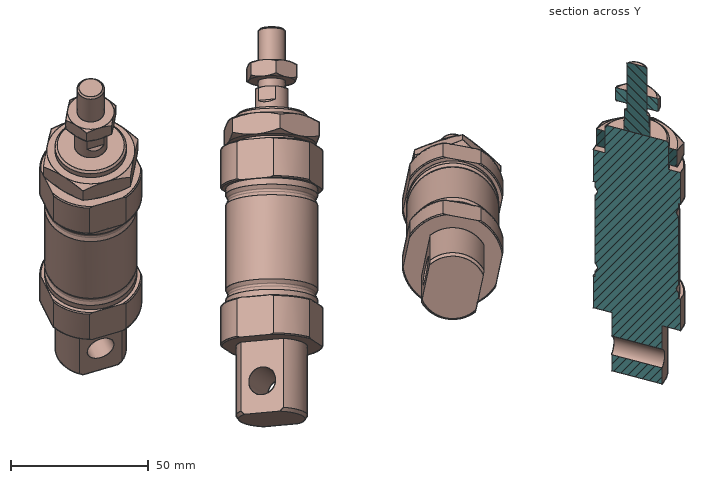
import cadquery as cq
import math

TOTAL_HEIGHT = 146.0

CLEVIS_LENGTH = 27.2
CLEVIS_DIAMETER = 26.0
CLEVIS_FLATS = 20.0
CLEVIS_CHAMFER_RADIAL = 0.9
CLEVIS_CHAMFER_HEIGHT = 1.3
PIVOT_HEIGHT = 12.0
PIVOT_DIAMETER = 10.4
HEAD_HEIGHT = 14.9
HEAD_FLATS = 34.5
HEAD_DIAMETER = 37.2
HEAD_CHAMFER = 0.5
BARREL_DIAMETER = 33.6
BARREL_LENGTH = 44.1
GROOVE_OFFSET = 2.3
GROOVE_WIDTH = 4.0
GROOVE_FLOOR = 1.0
GROOVE_FLANK_DEPTH = 0.7
GROOVE_DEPTH = 0.9
NOSE_DIAMETER = 26.0
NOSE_TOP_DIAMETER = 24.4
NOSE_LENGTH = 13.0

ROD_DIAMETER = 12.0
ROD_SHOULDER = 123.4
ROD_SHOULDER_RISE = 0.3
ROD_FLATS = 10.0
ROD_FLATS_BOTTOM = 118.5
THREAD_DIAMETER = 10.0
THREAD_TIP_DIAMETER = 8.6

NUT_CHAMFER_ANGLE = 30.0
HEXAGON_RATIO = math.cos(math.radians(30))
MOUNTING_NUT_CORNERS = 37.0
MOUNTING_NUT_FLATS = MOUNTING_NUT_CORNERS * HEXAGON_RATIO
MOUNTING_NUT_HEIGHT = 8.0
MOUNTING_NUT_BOTTOM = 103.1
LOCK_NUT_FLATS = 17.0
LOCK_NUT_HEIGHT = 6.1
LOCK_NUT_BOTTOM = 126.6

REAR_HEAD_TOP = CLEVIS_LENGTH + HEAD_HEIGHT
FRONT_HEAD_BOTTOM = REAR_HEAD_TOP + BARREL_LENGTH
FRONT_HEAD_TOP = FRONT_HEAD_BOTTOM + HEAD_HEIGHT
NOSE_TOP = FRONT_HEAD_TOP + NOSE_LENGTH


def cylinder(diameter, bottom, top):
    """Upright cylinder on the Z axis."""
    return cq.Workplane("XY").workplane(offset=bottom).circle(diameter / 2).extrude(top - bottom)


def block(size_x, size_y, bottom, top):
    """Upright block centred on the Z axis."""
    return cq.Workplane("XY").workplane(offset=bottom).rect(size_x, size_y).extrude(top - bottom)


def make_clevis():
    """Round foot with two flats facing -X and +X and a cross hole along X."""
    foot = cylinder(CLEVIS_DIAMETER, 0, CLEVIS_LENGTH)
    foot = foot.faces("<Z").chamfer(CLEVIS_CHAMFER_HEIGHT, CLEVIS_CHAMFER_RADIAL)
    foot = foot.intersect(block(CLEVIS_FLATS, CLEVIS_DIAMETER, 0, CLEVIS_LENGTH))
    pivot_hole = (
        cq.Workplane("YZ")
        .center(0, PIVOT_HEIGHT)
        .circle(PIVOT_DIAMETER / 2)
        .extrude(CLEVIS_DIAMETER, both=True)
    )
    return foot.cut(pivot_hole)


def make_head(bottom):
    """Square wrench head with turned, chamfered corners."""
    top = bottom + HEAD_HEIGHT
    turned = cylinder(HEAD_DIAMETER, bottom, top).faces("<Z or >Z").chamfer(HEAD_CHAMFER)
    return turned.intersect(block(HEAD_FLATS, HEAD_FLATS, bottom, top))


def make_groove(middle):
    """Ring cutter for a crimp groove with sloped sides and a rounded floor."""
    outer = BARREL_DIAMETER / 2
    flank_end = outer - GROOVE_FLANK_DEPTH
    floor = outer - GROOVE_DEPTH
    half_mouth = GROOVE_WIDTH / 2
    half_floor = GROOVE_FLOOR / 2
    return (
        cq.Workplane("XZ")
        .moveTo(outer, middle - half_mouth)
        .lineTo(flank_end, middle - half_floor)
        .threePointArc((floor, middle), (flank_end, middle + half_floor))
        .lineTo(outer, middle + half_mouth)
        .close()
        .revolve(360, (0, 0, 0), (0, 1, 0))
    )


def make_barrel():
    """Tube between the heads with a crimp groove near each end."""
    barrel = cylinder(BARREL_DIAMETER, REAR_HEAD_TOP, FRONT_HEAD_BOTTOM)
    groove_inset = GROOVE_OFFSET + GROOVE_WIDTH / 2
    for middle in (REAR_HEAD_TOP + groove_inset, FRONT_HEAD_BOTTOM - groove_inset):
        barrel = barrel.cut(make_groove(middle))
    return barrel


def make_nose():
    """Mounting thread on the front head."""
    nose = cylinder(NOSE_DIAMETER, FRONT_HEAD_TOP, NOSE_TOP)
    return nose.faces(">Z").chamfer((NOSE_DIAMETER - NOSE_TOP_DIAMETER) / 2)


def make_housing():
    """Clevis, heads, barrel and nose joined into one body."""
    housing = make_clevis()
    for section in (make_head(CLEVIS_LENGTH), make_barrel(), make_head(FRONT_HEAD_BOTTOM), make_nose()):
        housing = housing.union(section)
    return housing


def make_rod():
    """Piston rod standing on the nose, with wrench flats and a threaded end."""
    shank_radius = ROD_DIAMETER / 2
    thread_radius = THREAD_DIAMETER / 2
    tip_radius = THREAD_TIP_DIAMETER / 2
    tip_chamfer = thread_radius - tip_radius
    rod = (
        cq.Workplane("XZ")
        .moveTo(0, NOSE_TOP)
        .lineTo(shank_radius, NOSE_TOP)
        .lineTo(shank_radius, ROD_SHOULDER)
        .lineTo(thread_radius, ROD_SHOULDER + ROD_SHOULDER_RISE)
        .lineTo(thread_radius, TOTAL_HEIGHT - tip_chamfer)
        .lineTo(tip_radius, TOTAL_HEIGHT)
        .lineTo(0, TOTAL_HEIGHT)
        .close()
        .revolve(360, (0, 0, 0), (0, 1, 0))
    )
    flat_depth = shank_radius - ROD_FLATS / 2
    flats_top = ROD_SHOULDER + ROD_SHOULDER_RISE
    for side in (-1, 1):
        flat_cutter = (
            cq.Workplane("XZ")
            .moveTo(side * ROD_FLATS / 2, flats_top)
            .lineTo(side * ROD_FLATS / 2, ROD_FLATS_BOTTOM)
            .lineTo(side * shank_radius, ROD_FLATS_BOTTOM - flat_depth)
            .lineTo(side * shank_radius, flats_top)
            .close()
            .extrude(ROD_DIAMETER, both=True)
        )
        rod = rod.cut(flat_cutter)
    return rod


def make_nut(flats, bore_diameter, height, bottom):
    """Hexagon nut with corners on +Y and -Y, chamfered on both faces."""
    corner_diameter = flats / HEXAGON_RATIO
    corner_radius = corner_diameter / 2
    face_radius = flats / 2
    chamfer_height = (corner_radius - face_radius) * math.tan(math.radians(NUT_CHAMFER_ANGLE))
    top = bottom + height
    hexagon = (
        cq.Workplane("XY")
        .workplane(offset=bottom)
        .transformed(rotate=(0, 0, 90))
        .polygon(6, corner_diameter)
        .extrude(height)
    )
    envelope = (
        cq.Workplane("XZ")
        .moveTo(0, bottom)
        .lineTo(face_radius, bottom)
        .lineTo(corner_radius, bottom + chamfer_height)
        .lineTo(corner_radius, top - chamfer_height)
        .lineTo(face_radius, top)
        .lineTo(0, top)
        .close()
        .revolve(360, (0, 0, 0), (0, 1, 0))
    )
    return hexagon.intersect(envelope).cut(cylinder(bore_diameter, bottom, top))


housing = make_housing()
rod = make_rod()
mounting_nut = make_nut(MOUNTING_NUT_FLATS, NOSE_DIAMETER, MOUNTING_NUT_HEIGHT, MOUNTING_NUT_BOTTOM)
lock_nut = make_nut(LOCK_NUT_FLATS, THREAD_DIAMETER, LOCK_NUT_HEIGHT, LOCK_NUT_BOTTOM)

result = cq.Compound.makeCompound([housing.val(), rod.val(), mounting_nut.val(), lock_nut.val()])